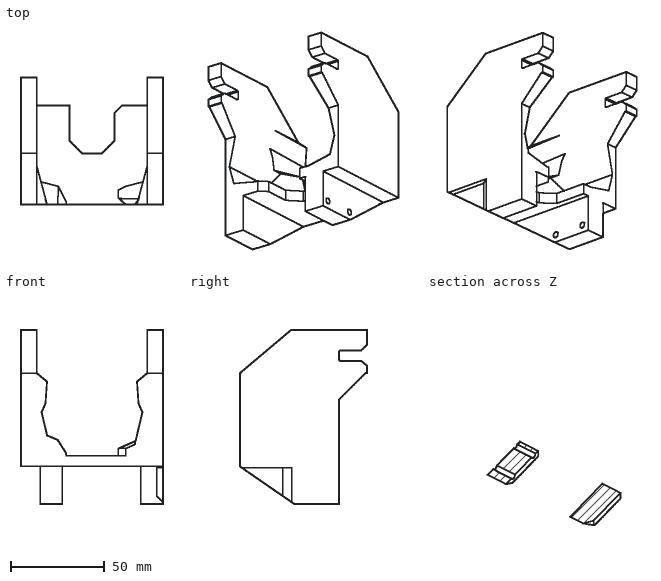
import cadquery as cq

WIDTH = 76.0
HEIGHT = 93.0
LENGTH = 68.0
BODY_LENGTH = 53.0
LEG_HEIGHT = 20.1
FLOOR_Z = 25.95
WALL = 8.6
SHOULDER_Z = 69.9
SLOPE_TOP_Y = 27.3

SLOT_LOW_Z = 76.5
SLOT_HIGH_Z = 81.9
SLOT_CORNER = 0.6
SLOT_MOUTH_Y = 64.7
MOUTH_LOW_Z = 73.8
MOUTH_HIGH_Z = 85.1
HOOK_TIP_Y = 67.1
BACK_TOP_Z = 55.9

FOLD_INSET = 6.5
FOLD_Z = 55.3
NECK_INSET = 2.7
NECK_Z = 39.2
CORNER_INSET = 5.7
CORNER_Z = 28.8
FLOOR_EDGE_INSET = 20.0

OPENING_LEFT = 26.0
OPENING_RIGHT = 49.9
OPENING_FRONT_Y = 27.3
OPENING_CORNER = 6.8
OPENING_ENTRY = 4.1

LEG_WIDTH = 12.0
LEFT_LEG_X = 10.2
LEG_TOE_Y = 29.1
HOLE_DIAMETER = 3.2
HOLE_YS = (29.85, 48.7)
HOLE_Z = 4.3
RELIEF_WIDTH = 3.4
RELIEF_TOP_Z = 19.3
RELIEF_INNER_Y = 23.0
RELIEF_OUTER_Y = 27.7

ROOT_INSET = 1.1
ROOT_Z = 22.3
LUMP_LENGTH = 27.9
CUT_SIZE = 279.0

SHOULDER = (WALL, 0, SHOULDER_Z)
UPPER_PEAK = (14.0, 0, 65.4)
UPPER_LIP = (13.2, 0, 53.8)
VALLEY = (11.2, 0, 49.0)
LOWER_LIP = (14.0, 0, 36.9)
LOWER_LIP_END = (15.2, 0, 32.1)
LOWER_PEAK = (19.7, 0, 34.3)
TOE = (24.2, 0, 27.25)
TOE_FLOOR = (24.3, 0, FLOOR_Z)

UPPER_BACK = (WALL, 20.5, SHOULDER_Z)
VALLEY_BACK = (4.0, 14.9, 45.0)
FOOT_BACK = (9.0, 12.65, 28.2)
FLOOR_BACK = (FLOOR_EDGE_INSET, 9.8, FLOOR_Z)

FOOT_SIDE = 24.1
BEVEL_OUTER_RIDGE = (15.1, 3.3, 33.7)
BEVEL_INNER_RIDGE = (22.7, 3.3, 30.2)
BEVEL_FRONT = (19.3, 0, 29.9)
BEVEL_TOE = (19.9, 0, FLOOR_Z)
BEVEL_SIDE = (FOOT_SIDE, 3.8, FLOOR_Z)


def side_plate(x, width):
    """Wall slab running in Y and Z, with a sloped nose and a slotted rear hook."""
    outline = [
        (0, LEG_HEIGHT),
        (0, SHOULDER_Z),
        (SLOPE_TOP_Y, HEIGHT),
        (LENGTH, HEIGHT),
        (LENGTH, MOUTH_HIGH_Z),
        (SLOT_MOUTH_Y, SLOT_HIGH_Z),
        (BODY_LENGTH + SLOT_CORNER, SLOT_HIGH_Z),
        (BODY_LENGTH, SLOT_HIGH_Z - SLOT_CORNER),
        (BODY_LENGTH, SLOT_LOW_Z + SLOT_CORNER),
        (BODY_LENGTH + SLOT_CORNER, SLOT_LOW_Z),
        (SLOT_MOUTH_Y, SLOT_LOW_Z),
        (LENGTH, MOUTH_LOW_Z),
        (LENGTH, SHOULDER_Z),
        (HOOK_TIP_Y, SHOULDER_Z),
        (BODY_LENGTH, BACK_TOP_Z),
        (BODY_LENGTH, LEG_HEIGHT),
    ]
    return cq.Workplane("YZ", origin=(x, 0, 0)).polyline(outline).close().extrude(width)


def trough():
    """Faceted channel between the walls, open at the top and at both ends."""
    left = [
        (WALL, HEIGHT),
        (WALL, SHOULDER_Z),
        (FOLD_INSET, FOLD_Z),
        (NECK_INSET, NECK_Z),
        (CORNER_INSET, CORNER_Z),
        (FLOOR_EDGE_INSET, FLOOR_Z),
    ]
    right = [(WIDTH - x, z) for x, z in reversed(left)]
    return cq.Workplane("XZ").polyline(left + right).close().extrude(-LENGTH)


def floor_opening():
    front_corner_y = OPENING_FRONT_Y + OPENING_CORNER
    outline = [
        (OPENING_LEFT, BODY_LENGTH),
        (OPENING_LEFT, front_corner_y),
        (OPENING_LEFT + OPENING_CORNER, OPENING_FRONT_Y),
        (OPENING_RIGHT - OPENING_CORNER, OPENING_FRONT_Y),
        (OPENING_RIGHT, front_corner_y),
        (OPENING_RIGHT, BODY_LENGTH - OPENING_ENTRY),
        (OPENING_RIGHT + OPENING_ENTRY, BODY_LENGTH),
    ]
    return cq.Workplane("XY").polyline(outline).close().extrude(HEIGHT)


def leg(x):
    """Leg with a sloped front."""
    outline = [(0, LEG_HEIGHT), (LEG_TOE_Y, 0), (BODY_LENGTH, 0), (BODY_LENGTH, LEG_HEIGHT)]
    plane = cq.Workplane("YZ", origin=(x, 0, 0))
    return plane.polyline(outline).close().extrude(LEG_WIDTH)


def leg_holes(x):
    """Two cross holes through the leg that starts at x."""
    plane = cq.Workplane("YZ", origin=(x, 0, 0))
    return plane.pushPoints([(y, HOLE_Z) for y in HOLE_YS]).circle(HOLE_DIAMETER / 2).extrude(LEG_WIDTH)


def leg_relief():
    """Oblique relief on the outer front corner of the right leg."""
    inner_x = WIDTH - RELIEF_WIDTH
    outline = [(inner_x, 0), (WIDTH, 0), (WIDTH, RELIEF_OUTER_Y), (inner_x, RELIEF_INNER_Y)]
    return cq.Workplane("XY").polyline(outline).close().extrude(RELIEF_TOP_Z)


def lump(corners, facets):
    """Prism of front corners, trimmed by planes through three points each.

    Every plane keeps the side that holds the middle of the buried edge.
    """
    outline = [(x, z) for x, y, z in corners]
    solid = cq.Workplane("XZ").polyline(outline).close().extrude(-LUMP_LENGTH)
    buried = (cq.Vector(*corners[0]) + cq.Vector(*corners[-1])) / 2
    for facet in facets:
        first, second, third = [cq.Vector(*point) for point in facet]
        normal = (second - first).cross(third - first)
        if normal.dot(buried - first) > 0:
            normal = -normal
        plane = cq.Workplane(cq.Plane(origin=first, normal=normal))
        solid = solid.cut(plane.rect(CUT_SIZE, CUT_SIZE).extrude(CUT_SIZE))
    return solid


def on_right(solid):
    return solid.mirror("YZ").translate((WIDTH, 0, 0))


upper_lump = lump(
    [
        (ROOT_INSET, 0, SHOULDER_Z),
        SHOULDER,
        UPPER_PEAK,
        UPPER_LIP,
        VALLEY,
        (ROOT_INSET, 0, VALLEY[2]),
    ],
    [
        (SHOULDER, UPPER_PEAK, UPPER_BACK),
        (UPPER_PEAK, UPPER_LIP, UPPER_BACK),
        (UPPER_LIP, VALLEY, VALLEY_BACK),
    ],
)

lower_lump = lump(
    [
        (ROOT_INSET, 0, VALLEY[2]),
        VALLEY,
        LOWER_LIP_END,
        (LOWER_LIP_END[0], 0, ROOT_Z),
        (ROOT_INSET, 0, ROOT_Z),
    ],
    [(VALLEY, LOWER_LIP_END, FOOT_BACK)],
)

foot_facet = (FOOT_BACK, FLOOR_BACK, LOWER_PEAK)
left_foot = lump(
    [
        (ROOT_INSET, 0, LOWER_LIP[2]),
        LOWER_LIP,
        LOWER_PEAK,
        TOE,
        TOE_FLOOR,
        (TOE_FLOOR[0], 0, ROOT_Z),
        (ROOT_INSET, 0, ROOT_Z),
    ],
    [foot_facet, (FLOOR_BACK, LOWER_PEAK, TOE)],
)
right_foot = lump(
    [
        (ROOT_INSET, 0, LOWER_LIP[2]),
        (FOOT_SIDE, 0, LOWER_LIP[2]),
        (FOOT_SIDE, 0, ROOT_Z),
        (ROOT_INSET, 0, ROOT_Z),
    ],
    [
        foot_facet,
        (BEVEL_OUTER_RIDGE, BEVEL_INNER_RIDGE, BEVEL_FRONT),
        (BEVEL_TOE, BEVEL_SIDE, (BEVEL_TOE[0], 0, ROOT_Z)),
    ],
)

core = cq.Workplane("XY").box(WIDTH, BODY_LENGTH, BACK_TOP_Z - LEG_HEIGHT, centered=False)
core = core.translate((0, 0, LEG_HEIGHT))
body = side_plate(0, WALL).union(side_plate(WIDTH - WALL, WALL)).union(core)
body = body.cut(trough()).cut(floor_opening())

for solid in (upper_lump, lower_lump):
    body = body.union(solid).union(on_right(solid))
body = body.union(left_foot).union(on_right(right_foot))

right_leg = leg(WIDTH - LEG_WIDTH).cut(leg_relief())
left_leg = leg(LEFT_LEG_X).cut(leg_holes(LEFT_LEG_X))
result = body.union(left_leg).union(right_leg)